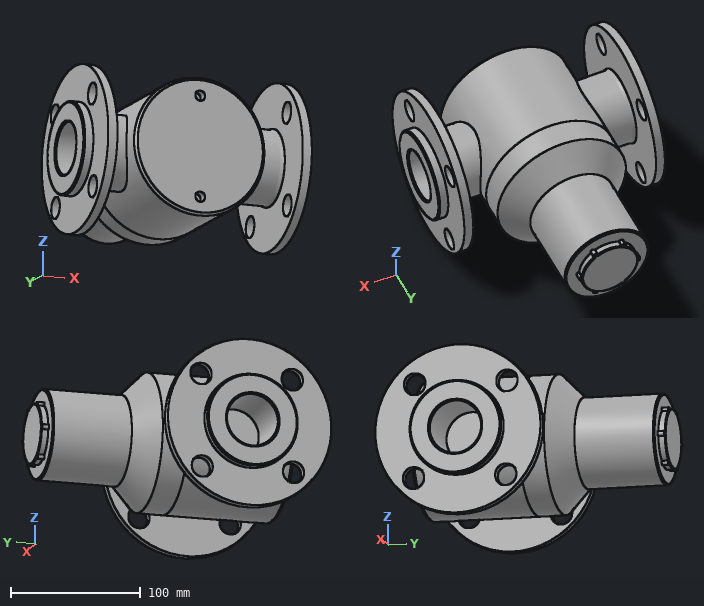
import cadquery as cq
import math


body_diameter = 109.0
housing_front = -46.5
housing_back = 39.5
front_chamfer = 2.1
pin_hole_diameter = 8.0
pin_hole_offset = 40.0
pin_hole_depth = 8.5

neck_diameter = 71.0
shoulder_start = 60.4
shoulder_length = (body_diameter - neck_diameter) / 2
neck_end = 143.0
neck_chamfer = 1.0

knob_end = 148.9
knob_radius = 23.6
lobe_count = 6
lobe_radius = 2.0
knob_tip_radius = 25.8
knob_edge_chamfer = 0.6

port_seat = 43.0
port_end = 93.0
pipe_diameter = 59.0
bore_diameter = 41.0
bore_chamfer = 1.0
collar_diameter = 61.0
collar_length = 3.0
face_diameter = 73.0
face_chamfer = 1.0

flange_diameter = 132.0
flange_inner = 77.3
flange_outer = 85.0
bolt_hole_diameter = 17.0
bolt_hole_count = 4
bolt_circle_diameter = 104.0
bolt_pattern_y = 2.0
bolt_pattern_z = -0.9
bolt_pattern_turn = -0.7

sides = (-1, 1)


def cylinder_y(diameter, start, end):
    """Cylinder on the body axis between two Y positions."""
    return cq.Workplane("XZ", origin=(0, start, 0)).circle(diameter / 2).extrude(start - end)


def revolve_about_x(profile):
    """Solid of revolution about X from (x, radius) points."""
    return cq.Workplane("XY").polyline(profile).close().revolve(360, (0, 0, 0), (1, 0, 0))


def mirror_to_side(body, side):
    """Keep the +X body, or mirror it to the -X side."""
    return body if side > 0 else body.mirror("YZ")


def make_housing():
    housing = cylinder_y(body_diameter, housing_front, housing_back)
    housing = housing.faces("<Y").chamfer(front_chamfer)
    pin_holes = (
        cq.Workplane("XZ", origin=(0, housing_front, 0))
        .pushPoints([(0, side * pin_hole_offset) for side in sides])
        .circle(pin_hole_diameter / 2)
        .extrude(-pin_hole_depth)
    )
    housing = housing.cut(pin_holes)
    for side in sides:
        socket = (
            cq.Workplane("YZ", origin=(side * port_seat, 0, 0))
            .circle(pipe_diameter / 2)
            .extrude(side * body_diameter / 2)
        )
        housing = housing.cut(socket)
    return housing


def make_bonnet():
    body_radius = body_diameter / 2
    neck_radius = neck_diameter / 2
    profile = [
        (0, housing_back),
        (body_radius, housing_back),
        (body_radius, shoulder_start),
        (neck_radius, shoulder_start + shoulder_length),
        (neck_radius, neck_end - neck_chamfer),
        (neck_radius - neck_chamfer, neck_end),
        (0, neck_end),
    ]
    return cq.Workplane("XY").polyline(profile).close().revolve(360, (0, 0, 0), (0, 1, 0))


def make_knob():
    knob = cylinder_y(2 * knob_radius, neck_end, knob_end)
    lobes = (
        cq.Workplane("XZ", origin=(0, neck_end, 0))
        .polarArray(knob_tip_radius - lobe_radius, 0, 360, lobe_count)
        .circle(lobe_radius)
        .extrude(neck_end - knob_end)
    )
    knob = knob.faces(">Y").chamfer(knob_edge_chamfer)
    lobes = lobes.faces(">Y").chamfer(knob_edge_chamfer)
    return knob.union(lobes)


def make_port(side):
    bore_radius = bore_diameter / 2
    pipe_radius = pipe_diameter / 2
    collar_radius = collar_diameter / 2
    face_radius = face_diameter / 2
    profile = [
        (port_seat, bore_radius),
        (port_seat, pipe_radius),
        (flange_inner - collar_length, pipe_radius),
        (flange_inner, collar_radius),
        (flange_outer, collar_radius),
        (flange_outer, face_radius),
        (port_end - face_chamfer, face_radius),
        (port_end, face_radius - face_chamfer),
        (port_end, bore_radius + bore_chamfer),
        (port_end - bore_chamfer, bore_radius),
    ]
    return mirror_to_side(revolve_about_x(profile), side)


def make_flange(side):
    thickness = flange_outer - flange_inner
    flange = (
        cq.Workplane("YZ", origin=(flange_inner, 0, 0))
        .circle(flange_diameter / 2)
        .circle(collar_diameter / 2)
        .extrude(thickness)
    )
    bolt_angles = [
        math.radians(45 + bolt_pattern_turn + i * 360 / bolt_hole_count) for i in range(bolt_hole_count)
    ]
    bolt_points = [
        (
            bolt_pattern_y + bolt_circle_diameter / 2 * math.cos(angle),
            bolt_pattern_z + bolt_circle_diameter / 2 * math.sin(angle),
        )
        for angle in bolt_angles
    ]
    bolt_holes = (
        cq.Workplane("YZ", origin=(flange_inner, 0, 0))
        .pushPoints(bolt_points)
        .circle(bolt_hole_diameter / 2)
        .extrude(thickness)
    )
    return mirror_to_side(flange.cut(bolt_holes), side)


housing = make_housing()
bonnet = make_bonnet()
knob = make_knob()
ports = [make_port(side) for side in sides]
flanges = [make_flange(side) for side in sides]

result = cq.Compound.makeCompound(
    [
        housing.val(),
        bonnet.val(),
        knob.val(),
        *[port.val() for port in ports],
        *[flange.val() for flange in flanges],
    ]
)